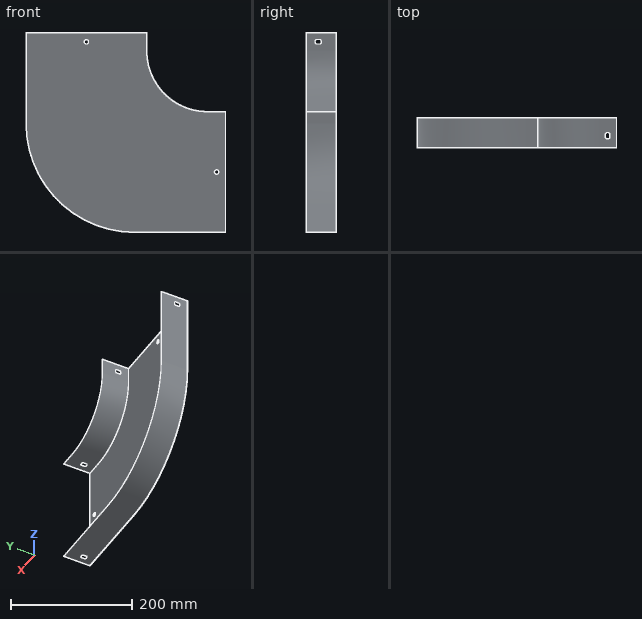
import cadquery as cq


tray_width = 200.0
straight_length = 30.0
inner_radius = 100.0
outer_straight = 150.0
flange_depth = 50.0
sheet = 0.8

hole_diameter = 7.0
slot_width = 7.0
slot_length = 10.0
end_distance = 15.0
slot_depth = 20.0

overall = tray_width + inner_radius + straight_length
outer_radius = overall - outer_straight
hole_station = overall - end_distance
mid_width = tray_width / 2
diagonal = 0.5 ** 0.5


def bend_outline(inset):
    """Bend profile with both curved sides moved inward by inset; the open ends stay put."""
    low = inset
    high = tray_width - inset
    inner_arc = inner_radius + inset
    outer_arc = outer_radius - inset
    inner_center = tray_width + inner_radius
    outer_mid = outer_radius - outer_arc * diagonal
    inner_mid = inner_center - inner_arc * diagonal
    return (
        cq.Workplane("XZ")
        .moveTo(low, overall)
        .lineTo(low, outer_radius)
        .threePointArc((outer_mid, outer_mid), (outer_radius, low))
        .lineTo(overall, low)
        .lineTo(overall, high)
        .lineTo(inner_center, high)
        .threePointArc((inner_mid, inner_mid), (high, inner_center))
        .lineTo(high, overall)
        .close()
    )


def make_cover():
    """Plate with both flanges, open at the two ends and at the back."""
    body = bend_outline(0).extrude(-flange_depth)
    cavity = bend_outline(sheet).extrude(-flange_depth).translate((0, sheet, 0))
    return body.cut(cavity)


def plate_holes():
    """Round holes through the plate, one at the middle of each open end."""
    return (
        cq.Workplane("XZ")
        .pushPoints([(mid_width, hole_station), (hole_station, mid_width)])
        .circle(hole_diameter / 2)
        .extrude(-2 * sheet)
        .translate((0, -sheet / 2, 0))
    )


def slot_cutter(plane, center, trim_size):
    """Disc trimmed by two flats, run across the whole part."""
    sketch = cq.Workplane(plane).center(*center)
    disc = sketch.circle(slot_length / 2).extrude(overall)
    trim = sketch.rect(*trim_size).extrude(overall)
    return disc.intersect(trim)


def flange_slots():
    """Slots through both flanges at each open end, long in Y."""
    top_end = slot_cutter("YZ", (slot_depth, hole_station), (slot_length, slot_width))
    right_end = slot_cutter("XY", (hole_station, slot_depth), (slot_width, slot_length))
    return top_end.union(right_end)


result = make_cover().cut(plate_holes()).cut(flange_slots())